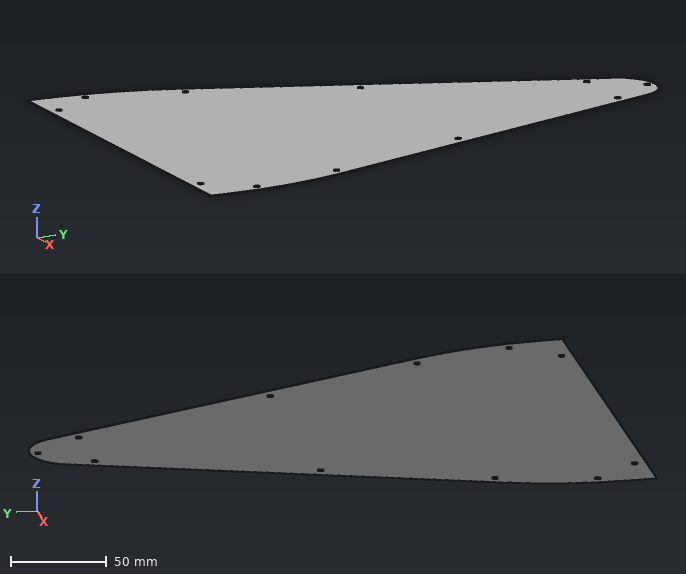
import cadquery as cq
import math

width = 220.0
length = 310.0
thickness = 0.5

flank_lean = math.radians(20)
nose_radius = 20.8
shoulder_radius = 200.0

hole_diameter = 3.0
nose_hole_y = 305.7
paired_holes = [
    (18.5, 279.5),
    (58.5, 168.0),
    (90.5, 82.0),
    (103.0, 30.0),
    (85.0, 6.2),
]

half_width = width / 2
nose_center_y = length - nose_radius

nose_x = nose_radius * math.cos(flank_lean)
nose_y = nose_center_y + nose_radius * math.sin(flank_lean)

corner_y = nose_y - (half_width - nose_x) / math.tan(flank_lean)
shoulder_y = corner_y - shoulder_radius * math.tan(flank_lean / 2)
shoulder_center_x = half_width - shoulder_radius


def shoulder_point(angle):
    """Point on the right shoulder arc, with the angle measured from +X."""
    return (
        shoulder_center_x + shoulder_radius * math.cos(angle),
        shoulder_y + shoulder_radius * math.sin(angle),
    )


def mirrored(point):
    """Matching point on the left side of the plate."""
    return (-point[0], point[1])


def make_plate():
    shoulder_middle = shoulder_point(flank_lean / 2)
    shoulder_end = shoulder_point(flank_lean)
    return (
        cq.Workplane("XY")
        .moveTo(-half_width, 0)
        .lineTo(half_width, 0)
        .lineTo(half_width, shoulder_y)
        .threePointArc(shoulder_middle, shoulder_end)
        .lineTo(nose_x, nose_y)
        .threePointArc((0, length), (-nose_x, nose_y))
        .lineTo(*mirrored(shoulder_end))
        .threePointArc(mirrored(shoulder_middle), (-half_width, shoulder_y))
        .close()
        .extrude(thickness)
    )


def make_holes():
    centers = [(0, nose_hole_y)]
    for center in paired_holes:
        centers += [center, mirrored(center)]
    return cq.Workplane("XY").pushPoints(centers).circle(hole_diameter / 2).extrude(thickness)


result = make_plate().cut(make_holes())